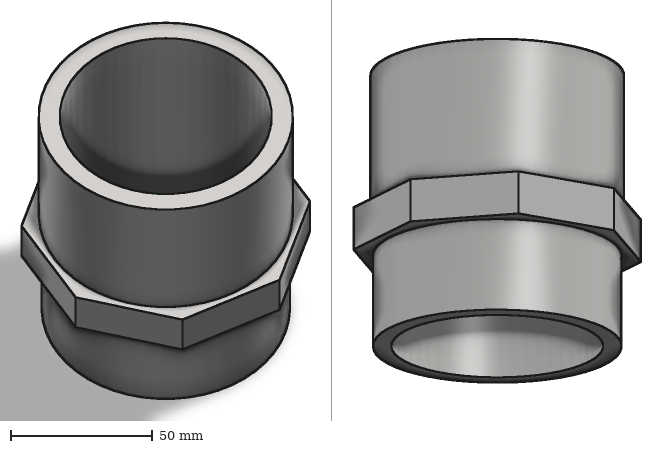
import cadquery as cq

total_height = 100.0
collar_across_flats = 95.0

lower_height = 33.5
collar_height = 15.6
upper_height = total_height - lower_height - collar_height

lower_diameter = 88.0
upper_diameter = 90.0
bore_diameter = 75.0

collar_sides = 8

lower_spigot = cq.Workplane("XY").circle(lower_diameter / 2).extrude(lower_height)

collar = (
    cq.Workplane("XY")
    .workplane(offset=lower_height)
    .polygon(collar_sides, collar_across_flats, circumscribed=True)
    .extrude(collar_height)
)

upper_socket = (
    cq.Workplane("XY")
    .workplane(offset=lower_height + collar_height)
    .circle(upper_diameter / 2)
    .extrude(upper_height)
)

bore = cq.Workplane("XY").circle(bore_diameter / 2).extrude(total_height)

result = lower_spigot.union(collar).union(upper_socket).cut(bore)